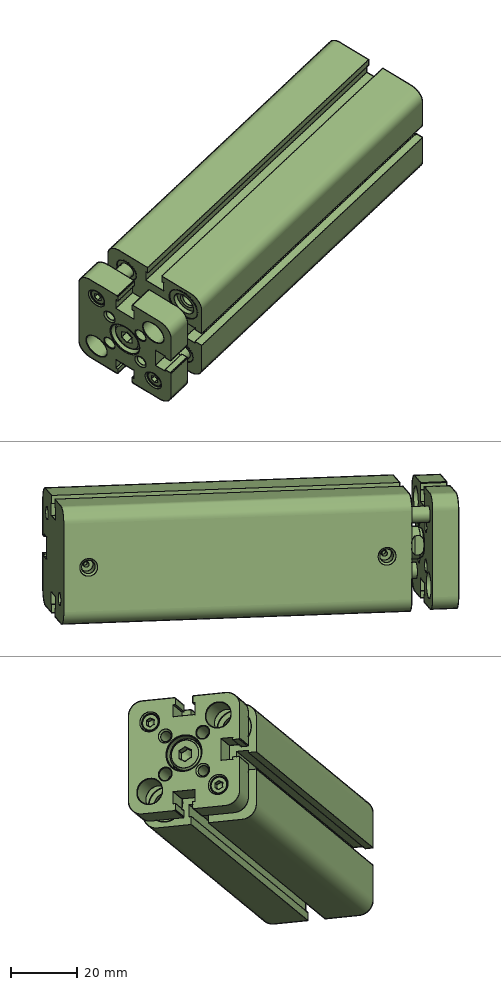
import cadquery as cq
import math


total_length = 121.6
plate_thickness = 8.0
rod_gap = 6.5
body_length = total_length - plate_thickness - rod_gap
plate_back = -rod_gap
plate_front = plate_back - plate_thickness

body_width = 36.4
plate_width = 35.8
corner_radius = 4.5

slot_mouth = 5.5
slot_inner_width = 6.9
slot_lip = 2.5
slot_depth = 6.3
plate_mouth_chamfer = 0.2

corner_spacing = 22.0
corner_offset = corner_spacing / 2

guide_rod_diameter = 5.0
bushing_diameter = 7.5
bushing_recess = 0.4
guide_screw_rim_diameter = 6.3
guide_screw_bore_diameter = 5.5
guide_screw_bore_depth = 3.6
guide_screw_diameter = 5.0
guide_screw_drop = 0.6
guide_socket_size = 2.4
guide_socket_depth = 1.7

access_rim_diameter = 8.3
access_hole_diameter = 8.0
mount_recess_diameter = 11.0
mount_recess_depth = 0.4
mount_pocket_diameter = 7.5
mount_pocket_depth = 1.8
mount_hole_diameter = 4.0
mount_hole_rim_diameter = 5.0

piston_rod_diameter = 10.0
wrench_flat_size = 8.0
wrench_flat_start = 2.1
wrench_ramp_length = 1.3
rod_end_taper = 0.6
rod_end_taper_length = 1.1
rod_neck_diameter = 7.8
rod_neck_length = 0.2

center_rim_diameter = 11.5
center_bore_diameter = 11.1
center_bore_depth = 4.9
center_screw_diameter = 10.0
center_screw_face_diameter = 8.8
center_screw_drop = 1.0
center_socket_size = 4.0
center_socket_depth = 2.4
drill_tip_angle = 118

fixing_hole_spacing = 12.0
fixing_rim_diameter = 4.4
fixing_thread_diameter = 3.3
fixing_dowel_diameter = 4.0

port_inset = 7.7
port_rim_diameter = 5.5
port_diameter = 4.1
port_depth = 4.3
port_passage_diameter = 1.7
port_passage_depth = 7.3


def rod(diameter, start, end, x=0.0, z=0.0):
    """Cylinder along Y between two Y positions."""
    return (
        cq.Workplane("XZ", origin=(x, start, z))
        .circle(diameter / 2)
        .extrude(start - end)
    )


def rounded_bar(width, start, end):
    """Square bar along Y with rounded long edges."""
    return (
        cq.Workplane("XZ", origin=(0, start, 0))
        .rect(width, width)
        .extrude(start - end)
        .edges("|Y")
        .fillet(corner_radius)
    )


def cone(start_diameter, end_diameter, length, start, x=0.0, z=0.0):
    """Cone that narrows from the Y position start toward +Y."""
    base = cq.Vector(x, start, z)
    axis = cq.Vector(0, 1, 0)
    return cq.Workplane(cq.Solid.makeCone(start_diameter / 2, end_diameter / 2, length, base, axis))


def rimmed_hole(rim_diameter, diameter, start, end, x=0.0, z=0.0):
    """Hole along Y with a 45 degree chamfered rim at its front."""
    rim_depth = (rim_diameter - diameter) / 2
    return rod(diameter, start, end, x, z).union(cone(rim_diameter, diameter, rim_depth, start, x, z))


def hex_socket(size, front, depth, x=0.0, z=0.0):
    """Hexagonal pocket with two vertical flats and a floor that tapers to a drill point."""
    corner_diameter = size / math.cos(math.pi / 6)
    tip_length = corner_diameter / 2 / math.tan(math.radians(drill_tip_angle / 2))
    floor = front + depth
    drilled = rod(corner_diameter, front, floor, x, z)
    drilled = drilled.union(cone(corner_diameter, 0, tip_length, floor, x, z))
    hexagon = (
        cq.Workplane("XZ", origin=(x, front, z))
        .transformed(rotate=(0, 0, 90))
        .polygon(6, corner_diameter)
        .extrude(-depth - tip_length)
    )
    return hexagon.intersect(drilled)


def make_slot():
    """T-slot for the top side, as long as the whole part."""
    floor_z = body_width / 2 - slot_depth
    centered = (True, False, False)
    mouth = cq.Workplane("XY").box(slot_mouth, total_length, slot_depth, centered)
    groove = cq.Workplane("XY").box(slot_inner_width, total_length, slot_depth - slot_lip, centered)
    slot = mouth.union(groove).translate((0, plate_front, floor_z))

    half_mouth = slot_mouth / 2
    plate_half = plate_width / 2
    wedge_tip = plate_half - plate_mouth_chamfer - half_mouth
    wedge_top = plate_half + plate_mouth_chamfer
    wedge_half_width = half_mouth + 2 * plate_mouth_chamfer
    wedge = (
        cq.Workplane("XZ", origin=(0, plate_front, 0))
        .moveTo(0, wedge_tip)
        .lineTo(wedge_half_width, wedge_top)
        .lineTo(-wedge_half_width, wedge_top)
        .close()
        .extrude(-plate_thickness)
    )
    return slot.union(wedge)


guide_places = [(-corner_offset, corner_offset), (corner_offset, -corner_offset)]
mount_places = [(corner_offset, corner_offset), (-corner_offset, -corner_offset)]


def make_body():
    body = rounded_bar(body_width, 0, body_length)
    for x, z in guide_places:
        body = body.cut(rod(bushing_diameter, 0, bushing_recess, x, z))
    for x, z in mount_places:
        body = body.cut(rod(mount_recess_diameter, 0, mount_recess_depth, x, z))
        body = body.cut(rod(mount_pocket_diameter, 0, mount_pocket_depth, x, z))
        body = body.cut(
            rimmed_hole(
                mount_hole_rim_diameter, mount_hole_diameter, mount_pocket_depth, body_length, x, z
            )
        )
    for y in (port_inset, body_length - port_inset):
        body = body.cut(make_port(y))
    return body


def make_port(y):
    """Air port: chamfered rim, threaded bore and a narrow inner passage."""
    face = cq.Vector(-body_width / 2, y, 0)
    inward = cq.Vector(1, 0, 0)
    rim_depth = (port_rim_diameter - port_diameter) / 2
    rim = cq.Solid.makeCone(port_rim_diameter / 2, port_diameter / 2, rim_depth, face, inward)
    bore = cq.Solid.makeCylinder(port_diameter / 2, port_depth, face, inward)
    passage = cq.Solid.makeCylinder(port_passage_diameter / 2, port_passage_depth, face, inward)
    return cq.Workplane(rim).union(cq.Workplane(bore)).union(cq.Workplane(passage))


def make_piston_rod():
    """Piston rod with a tapered end, a short neck and two wrench flats facing +X and -X."""
    radius = piston_rod_diameter / 2
    neck_radius = rod_neck_diameter / 2
    taper_end = plate_back + rod_neck_length
    shaft = (
        cq.Workplane("XY")
        .lineTo(radius, 0)
        .lineTo(radius, taper_end + rod_end_taper_length)
        .lineTo(radius - rod_end_taper, taper_end)
        .lineTo(neck_radius, taper_end)
        .lineTo(neck_radius, plate_back)
        .lineTo(0, plate_back)
        .close()
        .revolve(360, (0, 0, 0), (0, 1, 0))
    )
    flat_x = wrench_flat_size / 2
    for side in (-1, 1):
        flat = (
            cq.Workplane("XY")
            .moveTo(side * radius, -wrench_flat_start)
            .lineTo(side * flat_x, -wrench_flat_start - wrench_ramp_length)
            .lineTo(side * flat_x, plate_back)
            .lineTo(side * radius, plate_back)
            .close()
            .extrude(radius, both=True)
        )
        shaft = shaft.cut(flat)
    return shaft


def add_guide_screw(plate, x, z):
    """Sink a socket screw for a guide rod into the front of the plate."""
    bore_floor = plate_front + guide_screw_bore_depth
    screw_front = plate_front + guide_screw_drop
    bore = rimmed_hole(
        guide_screw_rim_diameter, guide_screw_bore_diameter, plate_front, bore_floor, x, z
    )
    screw = rod(guide_screw_diameter, screw_front, bore_floor, x, z)
    socket = hex_socket(guide_socket_size, screw_front, guide_socket_depth, x, z)
    return plate.cut(bore).union(screw.cut(socket))


def add_center_screw(plate):
    """Sink the chamfered piston rod screw into the center of the plate."""
    bore_floor = plate_front + center_bore_depth
    screw_front = plate_front + center_screw_drop
    face_chamfer = (center_screw_diameter - center_screw_face_diameter) / 2
    bore = rimmed_hole(center_rim_diameter, center_bore_diameter, plate_front, bore_floor)
    screw = rod(center_screw_diameter, screw_front, bore_floor)
    screw = screw.faces("<Y").edges().chamfer(face_chamfer)
    socket = hex_socket(center_socket_size, screw_front, center_socket_depth)
    return plate.cut(bore).union(screw.cut(socket))


def make_plate():
    plate = rounded_bar(plate_width, plate_front, plate_back)
    for x, z in mount_places:
        plate = plate.cut(
            rimmed_hole(access_rim_diameter, access_hole_diameter, plate_front, plate_back, x, z)
        )
    for x, z in guide_places:
        plate = add_guide_screw(plate, x, z)
    plate = add_center_screw(plate)
    fixing_offset = fixing_hole_spacing / 2
    for x in (-fixing_offset, fixing_offset):
        for z in (-fixing_offset, fixing_offset):
            diameter = fixing_thread_diameter if x * z < 0 else fixing_dowel_diameter
            plate = plate.cut(rimmed_hole(fixing_rim_diameter, diameter, plate_front, plate_back, x, z))
    return plate


result = make_body().union(make_piston_rod())
for x, z in guide_places:
    result = result.union(rod(guide_rod_diameter, plate_back, bushing_recess, x, z))
result = result.union(make_plate())
slot = make_slot()
for angle in (0, 90, 180):
    result = result.cut(slot.rotate((0, 0, 0), (0, 1, 0), angle))